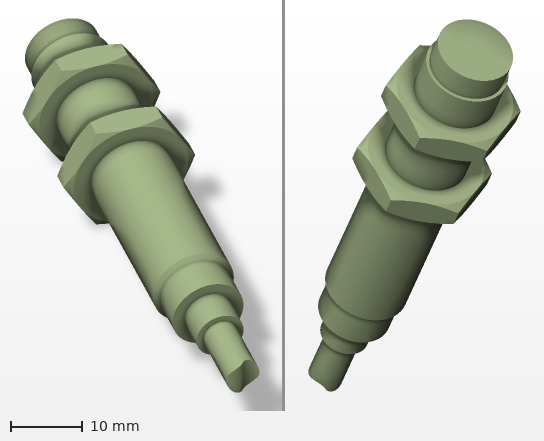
import cadquery as cq
import math

nose_diameter = 11.0
nose_end = 4.0
barrel_diameter = 12.0
barrel_end = 53.9
collar_diameter = 10.5
barrel_chamfer = (barrel_diameter - collar_diameter) / 2
collar_end = 59.0
sleeve_diameter = 7.0
sleeve_end = 63.9
cable_diameter = 5.0
total_length = 73.6

break_depth = 0.6

nut_width = 17.0
nut_thickness = 4.0
nut_starts = (10.0, 24.0)
nut_chamfer_angle = 30.0


def cylinder(start, end, diameter):
    """Round section on the X axis from start to end."""
    return cq.Workplane("YZ", origin=(start, 0, 0)).circle(diameter / 2).extrude(end - start)


def make_cable():
    """Cable whose end is cut along an S of one hollow and one bulging arc."""
    radius = cable_diameter / 2
    break_x = total_length - break_depth
    profile = (
        cq.Workplane("XY", origin=(0, 0, -radius))
        .moveTo(sleeve_end, -radius)
        .lineTo(break_x, -radius)
        .threePointArc((break_x + break_depth, -radius / 2), (break_x, 0))
        .threePointArc((break_x - break_depth, radius / 2), (break_x, radius))
        .lineTo(sleeve_end, radius)
        .close()
        .extrude(cable_diameter)
    )
    return cylinder(sleeve_end, total_length, cable_diameter).intersect(profile)


def make_nut(start):
    """Hexagon nut with corners on the Y axis and both faces coned at the corners."""
    corner_diameter = nut_width / math.cos(math.radians(30))
    corner_radius = corner_diameter / 2
    face_radius = nut_width / 2
    cone_length = (corner_radius - face_radius) * math.tan(math.radians(nut_chamfer_angle))
    end = start + nut_thickness
    hexagon = (
        cq.Workplane("YZ", origin=(start, 0, 0))
        .polygon(6, corner_diameter)
        .extrude(nut_thickness)
    )
    coned_blank = (
        cq.Workplane("XY")
        .polyline([
            (start, 0),
            (start, face_radius),
            (start + cone_length, corner_radius),
            (end - cone_length, corner_radius),
            (end, face_radius),
            (end, 0),
        ])
        .close()
        .revolve(360, (0, 0, 0), (1, 0, 0))
    )
    return hexagon.intersect(coned_blank)


nose = cylinder(0, nose_end, nose_diameter)
barrel = cylinder(nose_end, barrel_end, barrel_diameter)
barrel = barrel.faces(">X").chamfer(barrel_chamfer)
collar = cylinder(barrel_end, collar_end, collar_diameter)
sleeve = cylinder(collar_end, sleeve_end, sleeve_diameter)

result = nose.union(barrel).union(collar).union(sleeve).union(make_cable())
for nut_start in nut_starts:
    result = result.union(make_nut(nut_start))